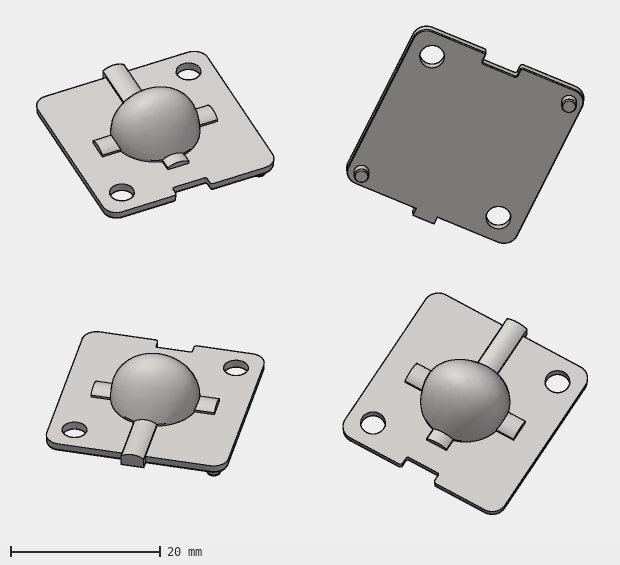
import cadquery as cq
import math

plate_side = 25.0
plate_thickness = 1.2
corner_radius = 2.0
edge_draft = 3.0
edge_chamfer_height = 0.2
edge_chamfer_inset = 0.1

notch_depth = 1.5
notch_width = 5.0
notch_mouth_radius = 0.4
notch_root_radius = 0.25

hole_diameter = 3.3
hole_offset = 9.0
peg_diameter = 2.03
peg_length = 1.4
peg_offset = 10.5
peg_draft = 2.0
peg_chamfer_height = 0.29
peg_chamfer_inset = 0.13

bar_width = 3.12
bar_shoulder = 0.3
bar_height = 0.8
bar_reach_y = 8.49
bar_reach_right = 7.5
bar_reach_left = 13.54
tongue_end_lean = 0.08

dome_height = 6.77
dome_rim = 0.3
dome_radius_y = 5.99
dome_crown_x = 6.27
dome_flattening_x = 0.12
dome_sections = 9

half_side = plate_side / 2
apex_z = plate_thickness + dome_height


def make_plate():
    """Rounded, notched, drafted square plate with a chamfered bottom edge."""
    wall_height = plate_thickness - edge_chamfer_height
    chamfer_angle = math.degrees(math.atan2(edge_chamfer_inset, edge_chamfer_height))
    root_x = half_side - notch_depth
    notch_centre_x = half_side - notch_depth / 2

    outline = cq.Sketch().rect(plate_side, plate_side).vertices().fillet(corner_radius).reset()
    outline = outline.push([(notch_centre_x, 0)]).rect(notch_depth, notch_width, mode="s").reset()
    for side in (-1, 1):
        for corner_x, radius in ((root_x, notch_root_radius), (half_side, notch_mouth_radius)):
            corner = cq.NearestToPointSelector((corner_x, side * notch_width / 2))
            outline = outline.vertices(corner).fillet(radius).reset()

    walls = cq.Workplane("XY", origin=(0, 0, plate_thickness)).placeSketch(outline)
    walls = walls.extrude(-wall_height, taper=edge_draft)
    bottom_edge = walls.faces("<Z").wires().toPending().workplane()
    return bottom_edge.extrude(edge_chamfer_height, taper=chamfer_angle)


def make_peg():
    """Drafted peg hanging from z = 0, chamfered at its tip."""
    shank_length = peg_length - peg_chamfer_height
    top_radius = peg_diameter / 2
    shank_radius = top_radius - shank_length * math.tan(math.radians(peg_draft))
    profile = [
        (0, 0),
        (top_radius, 0),
        (shank_radius, -shank_length),
        (shank_radius - peg_chamfer_inset, -peg_length),
        (0, -peg_length),
    ]
    return cq.Workplane("XZ").polyline(profile).close().revolve(360, (0, 0, 0), (0, 1, 0))


def make_bar(length, angle):
    """Crowned bar from the dome axis outward, turned about Z by angle."""
    half_width = bar_width / 2
    bar = (
        cq.Workplane("YZ", origin=(0, 0, plate_thickness))
        .moveTo(-half_width, 0)
        .lineTo(-half_width, bar_shoulder)
        .threePointArc((0, bar_height), (half_width, bar_shoulder))
        .lineTo(half_width, 0)
        .close()
        .extrude(length)
    )
    return bar.rotate((0, 0, 0), (0, 0, 1), angle)


def dome_half_widths(drop):
    """Half-widths of the dome along X and Y at a given drop below the apex."""
    half_x = math.sqrt(dome_crown_x * drop - dome_flattening_x * drop**2)
    round_drop = min(drop, dome_radius_y)
    half_y = math.sqrt(2 * dome_radius_y * round_drop - round_drop**2)
    return half_x, half_y


def dome_section(drop):
    """Elliptical level section of the dome, longest along Y."""
    half_x, half_y = dome_half_widths(drop)
    centre = cq.Vector(0, 0, apex_z - drop)
    return cq.Wire.makeEllipse(half_y, half_x, centre, cq.Vector(0, 0, 1), cq.Vector(0, 1, 0))


def make_dome():
    """Smooth dome lofted through level sections to its apex, standing on an upright rim."""
    crown_height = dome_height - dome_rim
    sections = [
        dome_section(crown_height * (step / dome_sections) ** 2)
        for step in range(dome_sections, 0, -1)
    ]
    apex = cq.Vertex.makeVertex(0, 0, apex_z)
    crown = cq.occ_impl.shapes.loft(sections + [apex], cap=True)

    half_x, half_y = dome_half_widths(crown_height)
    rim = cq.Workplane("XY", origin=(0, 0, plate_thickness)).ellipse(half_x, half_y).extrude(dome_rim)
    return rim.union(cq.Workplane(crown))


def make_tongue():
    """Block of plate thickness under the bar where it overhangs the -X edge."""
    profile = [
        (0, 0),
        (0, plate_thickness),
        (-bar_reach_left, plate_thickness),
        (tongue_end_lean - bar_reach_left, 0),
    ]
    return cq.Workplane("XZ").polyline(profile).close().extrude(bar_width / 2, both=True)


def cut_holes(body):
    """Drill the two holes through the plate."""
    centres = [(-hole_offset, hole_offset), (hole_offset, -hole_offset)]
    drills = cq.Workplane("XY").pushPoints(centres).circle(hole_diameter / 2).extrude(plate_thickness)
    return body.cut(drills)


result = cut_holes(make_plate())
result = result.union(make_tongue())

bars = ((bar_reach_right, 0), (bar_reach_y, 90), (bar_reach_left, 180), (bar_reach_y, 270))
for reach, direction in bars:
    result = result.union(make_bar(reach, direction))

result = result.union(make_dome())

for sign in (-1, 1):
    result = result.union(make_peg().translate((sign * peg_offset, sign * peg_offset, 0)))

result = result.solids()